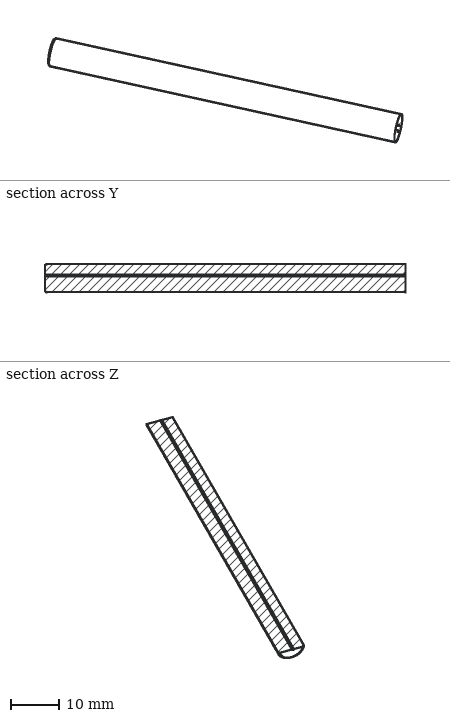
import cadquery as cq
import math

ROD_LENGTH = 75.0
ROD_DIAMETER = 6.0
CHAMFER = 0.3

CHANNEL_DIAMETER = 0.3
CHANNEL_SPACING = 1.3
CHANNEL_ANGLE = 60.0


def make_rod():
    """Round rod centred on the origin, chamfered at its -X end only."""
    rod = cq.Workplane("YZ").circle(ROD_DIAMETER / 2).extrude(ROD_LENGTH / 2, both=True)
    return rod.faces("<X").edges().chamfer(CHAMFER)


def cut_channels(body):
    """Drill both channels through the whole length of the rod."""
    angle = math.radians(CHANNEL_ANGLE)
    for side in (1, -1):
        offset = side * CHANNEL_SPACING / 2
        channel = (
            cq.Workplane("YZ")
            .center(offset * math.cos(angle), offset * math.sin(angle))
            .circle(CHANNEL_DIAMETER / 2)
            .extrude(ROD_LENGTH / 2, both=True)
        )
        body = body.cut(channel)
    return body


result = cut_channels(make_rod())